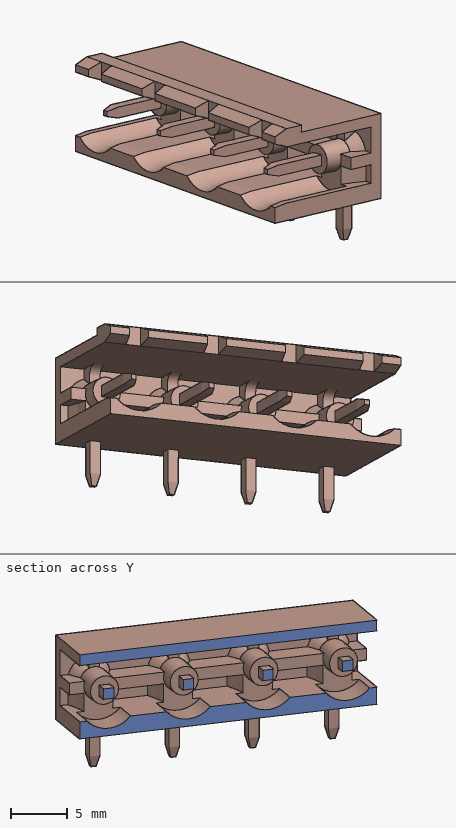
import cadquery as cq
import math


length = 28.0
depth = 12.0
roof_top = 7.85
roof_underside = 6.8
floor_top = 1.62
floor_bevel_length = 1.2
floor_bevel_drop = 0.17
wall_thickness = 1.12

lip_top = 8.48
lip_depth = 3.0
lip_bevel_length = 1.3
lip_bevel_height = 0.5
notch_inner_width = 1.4
notch_outer_width = 1.82

pin_count = 4
pitch = 7.5
pin_size = 1.0
tip_size = 0.48
tip_length = 1.05
pin_axis_height = 3.92
pin_end_setback = 1.18
tail_setback = 2.0
tail_length = 4.0

rail_axis_height = 3.85
rail_height = 1.1
rail_reach = 3.42
boss_radius = 1.37
drum_front_radius = 1.32
drum_reach = 4.95
flare_radius = 2.02
flare_reach = 2.35
pedestal_mid_half_width = 1.6
rib_fillet_radius = 0.92

channel_axis_height = 3.53
channel_radius = 2.8
channel_flare = 0.17

back_wall_inner = depth - wall_thickness
rail_front = depth - rail_reach
flare_front = depth - flare_reach
tail_y = depth - tail_setback
first_pin_x = -pitch * (pin_count - 1) / 2
pin_positions = [first_pin_x + i * pitch for i in range(pin_count)]


def make_housing():
    """C-shaped section with the lip and the rail, extruded along the row."""
    rail_bottom = rail_axis_height - rail_height / 2
    rail_top = rail_axis_height + rail_height / 2
    section = [
        (depth, 0),
        (0, 0),
        (0, floor_top - floor_bevel_drop),
        (floor_bevel_length, floor_top),
        (back_wall_inner, floor_top),
        (back_wall_inner, rail_bottom),
        (rail_front, rail_bottom),
        (rail_front, rail_top),
        (back_wall_inner, rail_top),
        (back_wall_inner, roof_underside),
        (lip_bevel_length, roof_underside),
        (0, roof_underside + lip_bevel_height),
        (0, lip_top - lip_bevel_height),
        (lip_bevel_length, lip_top),
        (lip_depth, lip_top),
        (lip_depth, roof_top),
        (depth, roof_top),
    ]
    return cq.Workplane("YZ").polyline(section).close().extrude(length / 2, both=True)


def make_lip_notch(x):
    """Wedge that opens the lip in front of a pin, wider towards the front."""
    inner = notch_inner_width / 2
    outer = notch_outer_width / 2
    outline = [
        (x - outer, 0),
        (x + outer, 0),
        (x + inner, lip_bevel_length),
        (x - inner, lip_bevel_length),
    ]
    return (
        cq.Workplane("XY", origin=(0, 0, roof_underside))
        .polyline(outline)
        .close()
        .extrude(lip_top - roof_underside)
    )


def make_channel(x):
    """Round trough in the floor, flared along the floor bevel."""
    profile = [
        (0, 0),
        (channel_radius + channel_flare, 0),
        (channel_radius, floor_bevel_length),
        (channel_radius, rail_front),
        (0, rail_front),
    ]
    trough = (
        cq.Workplane("XY", origin=(x, 0, channel_axis_height))
        .polyline(profile)
        .close()
        .revolve(360, (0, 0, 0), (0, 1, 0))
    )
    below_axis = cq.Workplane("XY").box(length, depth, channel_axis_height, centered=(True, False, False))
    return trough.intersect(below_axis)


def make_boss(x):
    """Round boss around a pin, with a tapered drum in front and a flare at the back wall."""
    profile = [
        (0, depth - drum_reach),
        (drum_front_radius, depth - drum_reach),
        (boss_radius, rail_front),
        (boss_radius, flare_front),
        (flare_radius, back_wall_inner),
        (0, back_wall_inner),
    ]
    return (
        cq.Workplane("XY", origin=(x, 0, pin_axis_height))
        .polyline(profile)
        .close()
        .revolve(360, (0, 0, 0), (0, 1, 0))
    )


def make_pedestal(x):
    """Upright block from the floor up to the boss, flared in two steps towards the wall."""
    outline = [
        (x - boss_radius, rail_front),
        (x + boss_radius, rail_front),
        (x + pedestal_mid_half_width, flare_front),
        (x + flare_radius, back_wall_inner),
        (x - flare_radius, back_wall_inner),
        (x - pedestal_mid_half_width, flare_front),
    ]
    return cq.Workplane("XY").polyline(outline).close().extrude(pin_axis_height)


def make_rib(x):
    """Web from the boss up to the roof, with a concave fillet under the roof."""
    radius = rib_fillet_radius
    fillet_start = roof_underside - radius
    fillet_mid = radius * (1 - math.sqrt(0.5))
    return (
        cq.Workplane("YZ", origin=(x, 0, 0))
        .moveTo(back_wall_inner, pin_axis_height)
        .lineTo(flare_front, pin_axis_height)
        .lineTo(flare_front, fillet_start)
        .threePointArc(
            (flare_front - fillet_mid, roof_underside - fillet_mid),
            (flare_front - radius, roof_underside),
        )
        .lineTo(back_wall_inner, roof_underside)
        .close()
        .extrude(pin_size / 2, both=True)
    )


def make_pin_leg(corner, direction, leg_length):
    """Square bar from the pin corner along a direction, tapering to a blunt tip."""
    bar_length = leg_length - tip_length
    base = cq.Workplane(cq.Plane(corner, xDir=(1, 0, 0), normal=direction))
    bar = base.rect(pin_size, pin_size).extrude(bar_length)
    tip = (
        base.workplane(offset=bar_length)
        .rect(pin_size, pin_size)
        .workplane(offset=tip_length)
        .rect(tip_size, tip_size)
        .loft()
    )
    return bar.union(tip)


def make_pin(x):
    """Right-angle pin: a contact leg to the front and a solder tail downwards."""
    corner = (x, tail_y, pin_axis_height)
    contact = make_pin_leg(corner, (0, -1, 0), tail_y - pin_end_setback)
    tail = make_pin_leg(corner, (0, 0, -1), pin_axis_height + tail_length)
    return contact.union(tail)


result = make_housing()
for pin_x in pin_positions:
    result = result.cut(make_lip_notch(pin_x)).cut(make_channel(pin_x))
    for make_feature in (make_boss, make_pedestal, make_rib, make_pin):
        result = result.union(make_feature(pin_x))